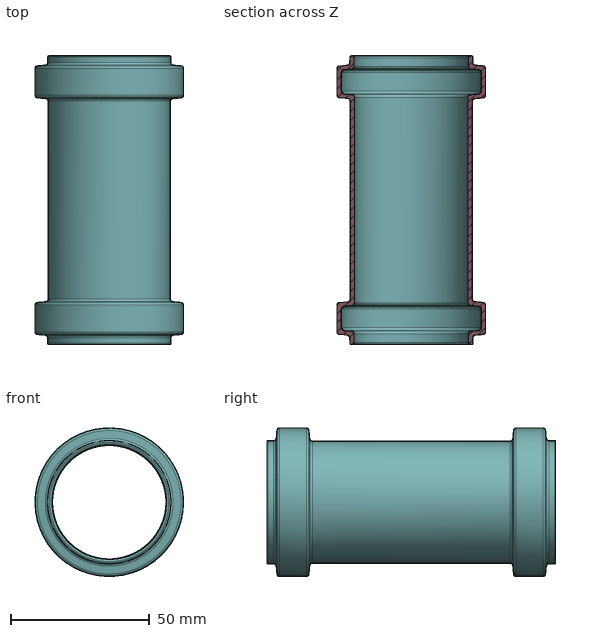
import cadquery as cq
import math

length = 104.0
wall = 1.6
tube_radius = 44.0 / 2
lip_radius = 44.4 / 2
bead_radius = 53.5 / 2

bead_start = 3.3
bead_end = 15.55
bead_draft = math.radians(5)

crest_fillet = 1.0
groove_fillet = 1.0
root_fillet = 0.9
throat_fillet = 1.0
rim_fillet = 0.5
mouth_fillet = 0.8


def bead_outline(offset):
    """Axial and radial points of one end, starting at the open end, at a depth below the outside."""
    lip = lip_radius - offset
    crest = bead_radius - offset
    tube = tube_radius - offset
    axial_offset = offset / math.cos(bead_draft)
    lean = math.tan(bead_draft)

    def front_face(radius):
        return bead_start + axial_offset + (radius - lip_radius) * lean

    def back_face(radius):
        return bead_end - axial_offset - (radius - tube_radius) * lean

    return [
        (0, lip),
        (front_face(lip), lip),
        (front_face(crest), crest),
        (back_face(crest), crest),
        (back_face(tube), tube),
    ]


def full_outline(offset):
    """Section points over the whole length: one end, then its mirror image."""
    near_end = [(radius, depth - length / 2) for depth, radius in bead_outline(offset)]
    far_end = [(radius, -y) for radius, y in reversed(near_end)]
    return near_end + far_end


def round_circles(body, points, fillet_radius):
    """Fillet the circular edges, at both ends, through the given outline points."""
    tolerance = 0.01
    edges = []
    for edge in body.edges("%CIRCLE").vals():
        depth = length / 2 - abs(edge.Center().y)
        for point_depth, point_radius in points:
            same_depth = abs(depth - point_depth) < tolerance
            if same_depth and abs(edge.radius() - point_radius) < tolerance:
                edges.append(edge)
    return body.newObject(edges).fillet(fillet_radius)


def coupler():
    """Revolve the wall section about Y, then round every corner of it."""
    section = full_outline(0) + full_outline(wall)[::-1]
    body = cq.Workplane("XY").polyline(section).close().revolve(360, (0, 0, 0), (0, 1, 0))

    outside_rim, outside_lip_root, *outside_crest, outside_tube_root = bead_outline(0)
    inside_rim, inside_lip_root, *inside_crest, inside_tube_root = bead_outline(wall)
    body = round_circles(body, outside_crest, crest_fillet)
    body = round_circles(body, inside_crest, groove_fillet)
    body = round_circles(body, [outside_lip_root, outside_tube_root], root_fillet)
    body = round_circles(body, [inside_lip_root, inside_tube_root], throat_fillet)
    body = round_circles(body, [outside_rim], rim_fillet)
    return round_circles(body, [inside_rim], mouth_fillet)


result = coupler()